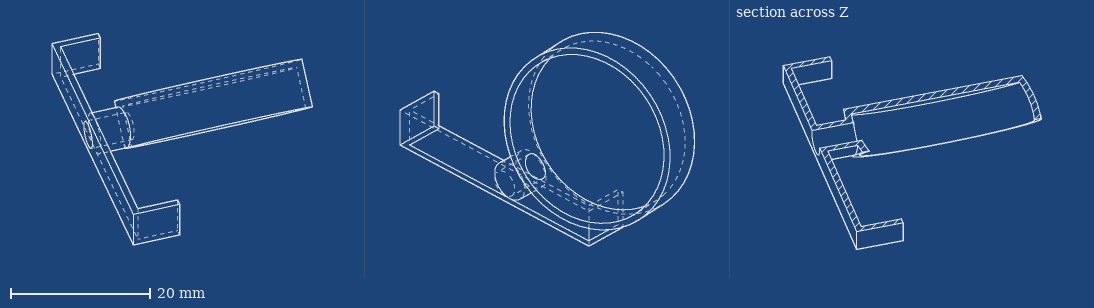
import cadquery as cq

CUP_INNER_DIAMETER = 25.6
CUP_WALL = 1.0
CUP_CAVITY_DEPTH = 6.0
CUP_TILT = -45.0
CUP_OUTER_DIAMETER = CUP_INNER_DIAMETER + 2 * CUP_WALL

STEM_DIAMETER = 6.0
STEM_BORE_DIAMETER = 4.0

BRACKET_FRONT_Y = -19.0
BRACKET_LEFT_X = -16.9
BRACKET_LENGTH = 38.0
BRACKET_HEIGHT = STEM_DIAMETER
BRACKET_THICKNESS = 1.0
TAB_LENGTH = 6.0


def tilted_cylinder(diameter, depth):
    """Cylinder on the cup axis, starting at the open rim of the cup."""
    return (
        cq.Workplane("XY")
        .workplane(offset=-CUP_CAVITY_DEPTH / 2)
        .circle(diameter / 2)
        .extrude(depth)
        .rotate((0, 0, 0), (0, 1, 0), CUP_TILT)
    )


def stem_cylinder(diameter):
    """Cylinder along Y from the front of the bracket to the cup centre."""
    return (
        cq.Workplane("XZ", origin=(0, BRACKET_FRONT_Y, 0))
        .circle(diameter / 2)
        .extrude(BRACKET_FRONT_Y)
    )


def bracket_block(left_x, front_y, length, depth):
    """Block of bracket height, centred on the stem axis in Z."""
    return cq.Workplane("XY", origin=(left_x, front_y, 0)).box(
        length, depth, BRACKET_HEIGHT, centered=(False, False, True)
    )


def bracket():
    """Flat strip with a tab at each end pointing towards the cup."""
    body = bracket_block(BRACKET_LEFT_X, BRACKET_FRONT_Y, BRACKET_LENGTH, BRACKET_THICKNESS)
    tab_front_y = BRACKET_FRONT_Y + BRACKET_THICKNESS
    right_tab_x = BRACKET_LEFT_X + BRACKET_LENGTH - BRACKET_THICKNESS
    for tab_x in (BRACKET_LEFT_X, right_tab_x):
        tab = bracket_block(tab_x, tab_front_y, BRACKET_THICKNESS, TAB_LENGTH)
        body = body.union(tab, clean=False)
    return body


cup_body = tilted_cylinder(CUP_OUTER_DIAMETER, CUP_CAVITY_DEPTH + CUP_WALL)
cup_cavity = tilted_cylinder(CUP_INNER_DIAMETER, CUP_CAVITY_DEPTH)
stem = stem_cylinder(STEM_DIAMETER)
stem_bore = stem_cylinder(STEM_BORE_DIAMETER)

result = (
    bracket()
    .union(stem, clean=False)
    .union(cup_body, clean=False)
    .cut(cup_cavity, clean=False)
    .cut(stem_bore, clean=False)
)